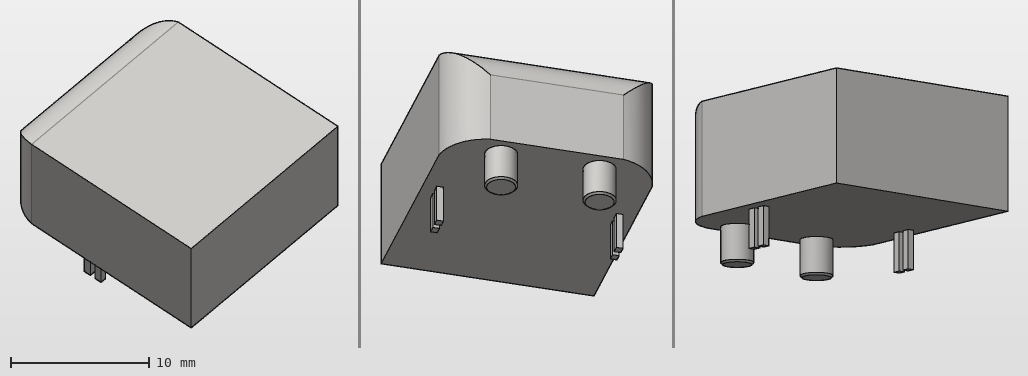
import cadquery as cq
import math

housing_length = 18.4
housing_width = 16.0
housing_height = 8.5

rounding_depth = 3.0
rounding_radius = 3.7

peg_diameter = 2.4
peg_length = 2.8
peg_tip_chamfer = 0.15
peg_x = 1.77
peg_spacing = 7.4

lead_thickness_x = 0.6
lead_width_y = 0.5
lead_length = 2.9
lead_pair_x = 8.0
lead_pitch_x = 1.03
lead_row_spacing = 13.5

half_width = housing_width / 2

half_chord = rounding_depth / math.sqrt(2)
arc_height = rounding_radius - math.sqrt(rounding_radius**2 - half_chord**2)
arc_inset = rounding_depth / 2 - arc_height / math.sqrt(2)


def make_housing():
    """Block with three rounded front edges that meet in mitred corners."""
    plan = (
        cq.Workplane("XY")
        .moveTo(housing_length, -half_width)
        .lineTo(rounding_depth, -half_width)
        .threePointArc((arc_inset, arc_inset - half_width), (0, rounding_depth - half_width))
        .lineTo(0, half_width - rounding_depth)
        .threePointArc((arc_inset, half_width - arc_inset), (rounding_depth, half_width))
        .lineTo(housing_length, half_width)
        .close()
        .extrude(housing_height)
    )
    side_profile = (
        cq.Workplane("XZ")
        .lineTo(0, housing_height - rounding_depth)
        .threePointArc((arc_inset, housing_height - arc_inset), (rounding_depth, housing_height))
        .lineTo(housing_length, housing_height)
        .lineTo(housing_length, 0)
        .close()
        .extrude(half_width, both=True)
    )
    return plan.intersect(side_profile)


def make_peg(y):
    """Round peg hanging from the housing, with a chamfered tip."""
    return (
        cq.Workplane("XY")
        .center(peg_x, y)
        .circle(peg_diameter / 2)
        .extrude(-peg_length)
        .faces("<Z")
        .chamfer(peg_tip_chamfer)
    )


def make_lead(x, y):
    """Straight rectangular lead hanging from the housing."""
    return cq.Workplane("XY").center(x, y).rect(lead_thickness_x, lead_width_y).extrude(-lead_length)


housing = make_housing()
pegs = [make_peg(side * peg_spacing / 2) for side in (-1, 1)]
leads = [
    make_lead(lead_pair_x + end * lead_pitch_x / 2, side * lead_row_spacing / 2)
    for side in (-1, 1)
    for end in (-1, 1)
]

result = cq.Compound.makeCompound([body.val() for body in [housing, *pegs, *leads]])